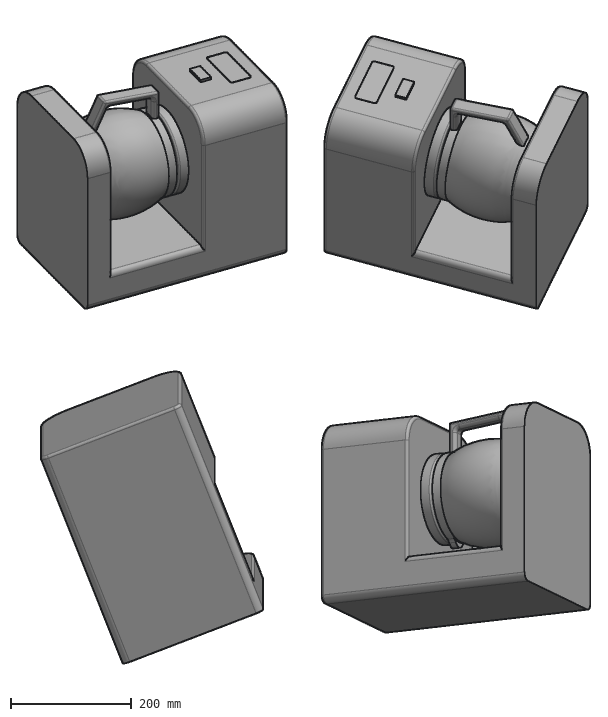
import cadquery as cq
import math


length = 376.0
width = 250.5
height = 311.5
shoulder_radius = 50.5
foot_radius = 12.8
back_edge_radius = 5.0

bay_front = 44.7
bay_back = 215.5
bay_floor = 63.5
tank_rim_radius = 5.0
base_rim_radius = 3.5
floor_rim_radius = 9.5
pick_margin = 0.05

screen_width = 88.7
screen_length = 38.5
screen_center = 331.0
screen_corner_radius = 3.8
screen_depth = 0.8
button_width = 39.0
button_length = 19.5
button_center = 277.8
button_height = 4.5

axis_height = 185.7
collar_radius = 76.3
basket_front = 197.0
basket_edge_radius = 3.0
carafe_back = 193.5
collar_front = 178.5
belly_radius = 91.0
base_band_back = 52.3
carafe_base_radius = collar_radius - basket_edge_radius

lip_reach = 85.5
lip_tip_radius = 15.8
lip_blend_radius = 12.8
lip_thickness = 12.5

handle_width = 27.0
handle_thickness = 12.5
handle_back_top = 311.5
handle_front = 91.0
handle_front_top = 322.0
handle_end = 55.0
handle_end_height = 249.5
handle_outer_radius = 3.8
handle_inner_radius = 6.5


def make_housing():
    body = cq.Workplane("XY").box(width, length, height, centered=(True, False, False))
    body = body.edges("|Y and >Z").fillet(shoulder_radius)
    body = body.edges("|Y and <Z").fillet(foot_radius)
    body = body.faces(">Y").edges().fillet(back_edge_radius)

    bay = cq.Workplane("XY", origin=(0, (bay_front + bay_back) / 2, bay_floor)).box(
        width, bay_back - bay_front, height, centered=(True, True, False)
    )
    body = body.cut(bay)
    on_floor = cq.selectors.BoxSelector(
        (-width, bay_front, bay_floor - pick_margin), (width, bay_back, bay_floor + pick_margin)
    )
    body = body.edges(on_floor).edges("|Y").fillet(floor_rim_radius)
    for wall, radius in ((bay_back, tank_rim_radius), (bay_front, base_rim_radius)):
        on_wall = cq.selectors.BoxSelector(
            (-width, wall - pick_margin, bay_floor + pick_margin),
            (width, wall + pick_margin, height + pick_margin),
        )
        body = body.edges(on_wall).fillet(radius)
    return body


def add_screen_and_button(body):
    screen = cq.Workplane("XY", origin=(0, screen_center, height - screen_depth)).box(
        screen_width, screen_length, 2 * screen_depth, centered=(True, True, False)
    )
    button = cq.Workplane("XY", origin=(0, button_center, height - button_height)).box(
        button_width, button_length, 2 * button_height, centered=(True, True, False)
    )
    return body.cut(screen.edges("|Z").fillet(screen_corner_radius)).union(button)


def cylinder_along_axis(radius, front, back):
    plane = cq.Workplane("XZ", origin=(0, back, axis_height))
    return plane.circle(radius).extrude(back - front)


def make_basket():
    basket = cylinder_along_axis(collar_radius, basket_front, bay_back + tank_rim_radius)
    return basket.faces("<Y").edges().fillet(basket_edge_radius)


def make_carafe():
    belly_middle = (collar_front + base_band_back) / 2
    profile = (
        cq.Workplane("XY")
        .moveTo(0, carafe_back)
        .lineTo(collar_radius, carafe_back)
        .lineTo(collar_radius, collar_front)
        .threePointArc((belly_radius, belly_middle), (collar_radius, base_band_back))
        .lineTo(carafe_base_radius, bay_front)
        .lineTo(carafe_base_radius, bay_front - base_rim_radius)
        .lineTo(0, bay_front - base_rim_radius)
        .close()
    )
    return profile.revolve(360, (0, 0, 0), (0, 1, 0)).translate((0, 0, axis_height))


def make_lip():
    tip_center = lip_reach - lip_tip_radius
    to_collar = collar_radius + lip_blend_radius
    to_tip = lip_tip_radius + lip_blend_radius
    blend_z = (to_collar**2 - to_tip**2 + tip_center**2) / (2 * tip_center)
    blend_x = math.sqrt(to_collar**2 - blend_z**2)

    on_collar = collar_radius / to_collar
    foot_x = blend_x * on_collar
    foot_z = blend_z * on_collar
    on_tip = lip_tip_radius / to_tip
    turn_x = blend_x * on_tip
    turn_z = tip_center + (blend_z - tip_center) * on_tip

    toward_x = (foot_x + turn_x) / 2 - blend_x
    toward_z = (foot_z + turn_z) / 2 - blend_z
    scale = lip_blend_radius / math.hypot(toward_x, toward_z)
    blend_mid_x = blend_x + toward_x * scale
    blend_mid_z = blend_z + toward_z * scale

    outline = (
        cq.Workplane("XZ", origin=(0, carafe_back, axis_height))
        .lineTo(foot_x, -foot_z)
        .threePointArc((blend_mid_x, -blend_mid_z), (turn_x, -turn_z))
        .threePointArc((0, -lip_reach), (-turn_x, -turn_z))
        .threePointArc((-blend_mid_x, -blend_mid_z), (-foot_x, -foot_z))
        .close()
    )
    return outline.extrude(lip_thickness)


def make_handle():
    corners = [
        (carafe_back, axis_height),
        (carafe_back, handle_back_top),
        (handle_front, handle_front_top),
        (handle_end, handle_end_height),
    ]
    block = cq.Workplane("YZ").polyline(corners).close().extrude(handle_width / 2, both=True)
    block = block.edges("|X").fillet(handle_outer_radius)
    block = block.faces("<X or >X").edges().fillet(handle_outer_radius)

    window = cq.Workplane("YZ").polyline(corners).close().offset2D(-handle_thickness)
    window = window.extrude(handle_width / 2, both=True)
    ring = block.cut(window.edges("|X").fillet(handle_inner_radius))
    for side in ("<X", ">X"):
        window_edge = ring.faces(side).val().innerWires()[0]
        ring = ring.newObject(window_edge.Edges()).fillet(handle_inner_radius)
    return ring


result = (
    add_screen_and_button(make_housing())
    .union(make_basket())
    .union(make_carafe())
    .union(make_lip())
    .union(make_handle())
)